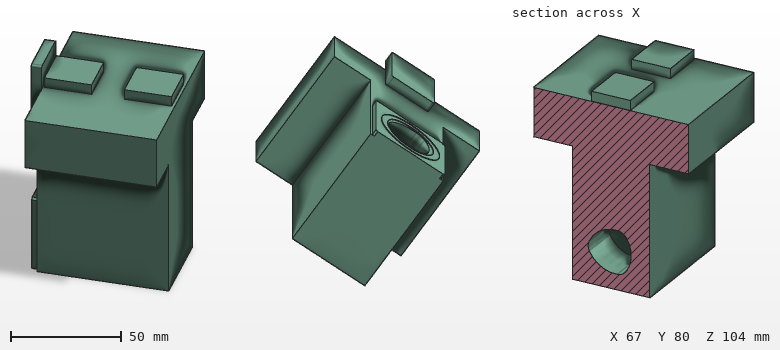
import cadquery as cq
import math

body_length = 62.0
head_width = 80.0
head_height = 25.0
stem_width = 40.0
body_height = 92.0

pad_length = 22.2
pad_width = 20.0
pad_height = 5.0
pad_centers_x = (11.85, 49.45)

plate_width = 23.6
plate_height = 30.0
plate_thickness = 5.0
plate_top = 104.0
plate_corner_radius = 1.0

flange_size = 38.0
flange_thickness = 2.7
flange_corner_chamfer = 1.0
socket_height = 19.0

ring_outer_diameter = 32.0
ring_inner_diameter = 25.2
ring_height = 0.3

socket_lobe_reach = 11.8
socket_flat_reach = 10.4
socket_lobe_radius = 5.8
socket_depth = 22.0
socket_lobe_spacing = 120
socket_taper = 0.025


def box_on(length, width, height, x, z):
    """Box centred on Y = 0, starting at x along X and at z along Z."""
    return cq.Workplane("XY").box(length, width, height, centered=(False, True, False)).translate((x, 0, z))


def make_housing():
    stem_height = body_height - head_height
    stem = box_on(body_length, stem_width, stem_height, 0, 0)
    head = box_on(body_length, head_width, head_height, 0, stem_height)
    return stem.union(head)


def make_pad(center_x):
    return box_on(pad_length, pad_width, pad_height, center_x - pad_length / 2, body_height)


def make_front_plate(thickness, width, height, bottom):
    """Plate standing on the -X face, with square corners."""
    return box_on(thickness, width, height, -thickness, bottom)


def make_upright_plate():
    plate = make_front_plate(plate_thickness, plate_width, plate_height, plate_top - plate_height)
    return plate.edges("|X").fillet(plate_corner_radius)


def make_flange():
    flange_bottom = socket_height - flange_size / 2
    flange = make_front_plate(flange_thickness, flange_size, flange_size, flange_bottom)
    return flange.edges("|X").chamfer(flange_corner_chamfer)


def make_contact_ring():
    return (
        cq.Workplane("YZ", origin=(-flange_thickness, 0, socket_height))
        .circle(ring_outer_diameter / 2)
        .circle(ring_inner_diameter / 2)
        .extrude(-ring_height)
    )


def polar_point(reach, degrees):
    angle = math.radians(degrees)
    return reach * math.cos(angle), reach * math.sin(angle)


def socket_section(depth):
    """Outline at a depth below the flange face: three lobe arcs joined by three tangent flank arcs."""
    lobe_center = socket_lobe_reach - socket_lobe_radius
    reach_gap = socket_flat_reach - socket_lobe_radius
    flank_center = (lobe_center**2 - reach_gap**2) / (2 * reach_gap - lobe_center)

    lobe_y, lobe_z = polar_point(lobe_center, socket_lobe_spacing)
    joint_tilt = math.degrees(math.atan2(lobe_z, lobe_y - flank_center)) - socket_lobe_spacing

    shrink = socket_taper * depth
    lobe_radius = socket_lobe_radius - shrink

    def joint(lobe_angle, tilt):
        center_y, center_z = polar_point(lobe_center, lobe_angle)
        offset_y, offset_z = polar_point(lobe_radius, lobe_angle + tilt)
        return center_y + offset_y, center_z + offset_z

    section = cq.Workplane("YZ", origin=(depth - flange_thickness, 0, socket_height))
    section = section.moveTo(*joint(0, -joint_tilt))
    for lobe_angle in range(0, 360, socket_lobe_spacing):
        lobe_tip = polar_point(socket_lobe_reach - shrink, lobe_angle)
        flank_middle = polar_point(socket_flat_reach - shrink, lobe_angle + socket_lobe_spacing / 2)
        section = section.threePointArc(lobe_tip, joint(lobe_angle, joint_tilt))
        section = section.threePointArc(flank_middle, joint(lobe_angle + socket_lobe_spacing, -joint_tilt))
    return section.close().val()


def make_socket():
    outlines = [socket_section(0), socket_section(socket_depth)]
    return cq.Workplane(cq.Solid.makeLoft(outlines, True))


result = make_housing()
for pad_center_x in pad_centers_x:
    result = result.union(make_pad(pad_center_x))
result = result.union(make_upright_plate())
result = result.union(make_flange())
result = result.union(make_contact_ring())
result = result.cut(make_socket())